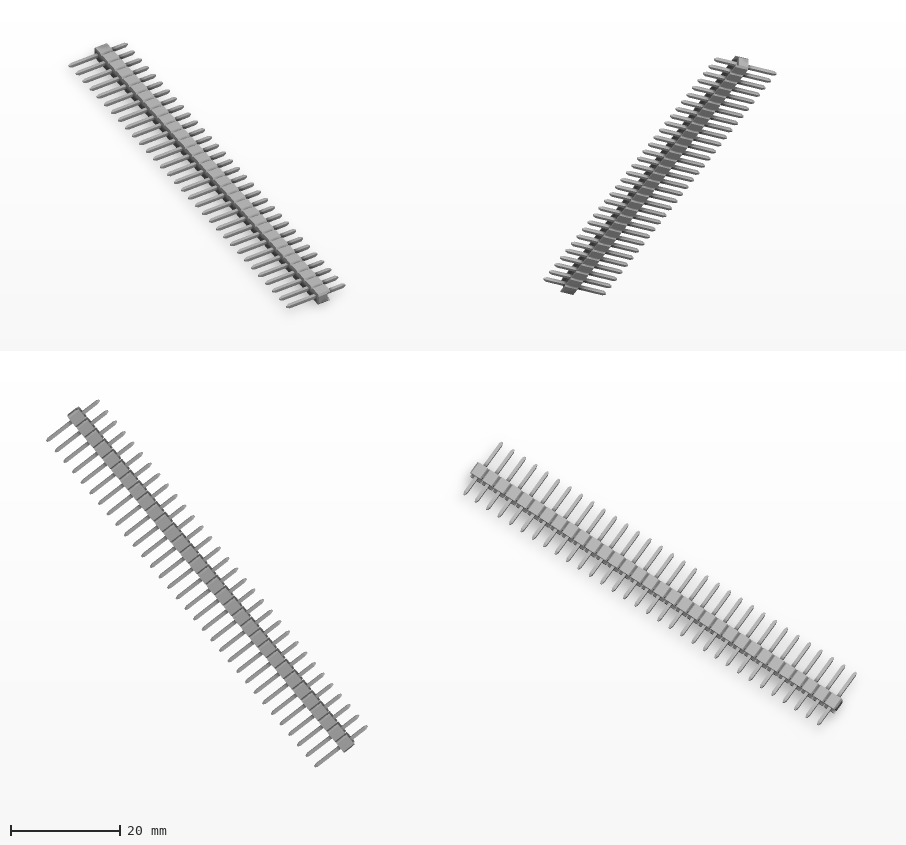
import cadquery as cq

pin_count = 32
pitch = 2.54
row_length = pin_count * pitch

body_depth = 2.5
body_height = 2.5
notch_width = 0.3
notch_depth = 0.4
groove_depth = 0.6
groove_height = 1.85

pin_width = 0.64
pin_length = 12.4
pin_front_reach = 6.04
pin_offset = -0.1
tip_length = 0.55
tip_width = 0.3


def make_segment(x_center):
    """One octagonal body segment, extruded along Y."""
    half_pitch = pitch / 2
    half_height = body_height / 2
    half_flat = half_pitch - notch_width
    half_side = half_height - notch_depth
    outline = [
        (-half_pitch, -half_side),
        (-half_flat, -half_height),
        (half_flat, -half_height),
        (half_pitch, -half_side),
        (half_pitch, half_side),
        (half_flat, half_height),
        (-half_flat, half_height),
        (-half_pitch, half_side),
    ]
    return (
        cq.Workplane("XZ", origin=(x_center, body_depth / 2, 0))
        .polyline(outline)
        .close()
        .extrude(body_depth)
    )


def make_groove():
    """Rectangular groove running the length of the +Y face."""
    y_center = (body_depth - groove_depth) / 2
    return cq.Workplane("XY", origin=(0, y_center, 0)).box(row_length, groove_depth, groove_height)


def make_tip(x_center, y_base, direction):
    """Truncated pyramid at a pin end, pointing along +Y (1) or -Y (-1)."""
    base_plane = cq.Plane(origin=(x_center, y_base, 0), xDir=(1, 0, 0), normal=(0, direction, 0))
    return (
        cq.Workplane(base_plane)
        .rect(pin_width, pin_width)
        .workplane(offset=tip_length)
        .rect(tip_width, tip_width)
        .loft(ruled=True)
    )


def make_pin(x_center):
    """Square pin along Y with a tapered tip at both ends."""
    y_front = -body_depth / 2 - pin_front_reach + tip_length
    shank_length = pin_length - 2 * tip_length
    y_back = y_front + shank_length
    shank = cq.Workplane("XZ", origin=(x_center, y_back, 0)).rect(pin_width, pin_width).extrude(shank_length)
    return shank.union(make_tip(x_center, y_front, -1)).union(make_tip(x_center, y_back, 1))


segment_centers = [(index - (pin_count - 1) / 2) * pitch for index in range(pin_count)]

body = make_segment(segment_centers[0])
for x in segment_centers[1:]:
    body = body.union(make_segment(x))
body = body.cut(make_groove())

result = body
for x in segment_centers:
    result = result.union(make_pin(x + pin_offset))